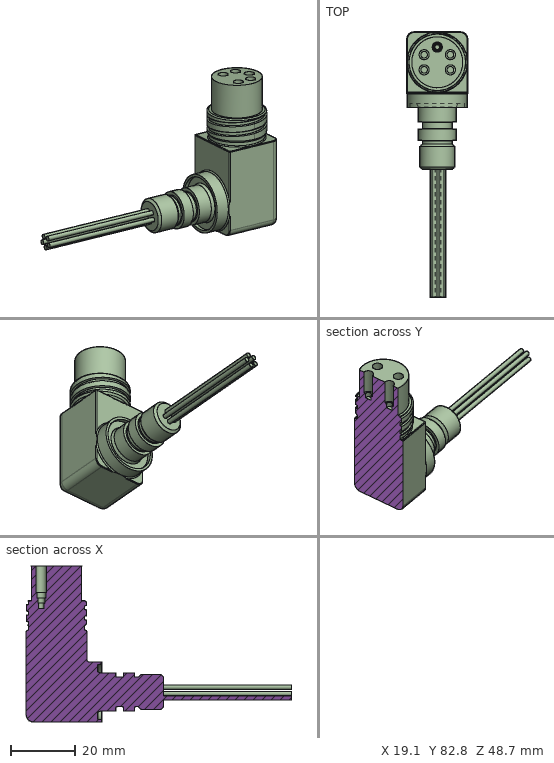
import cadquery as cq
import math

block_width = 19.05
block_height = 28.6
block_corner = 2.3
block_edge_break = 0.25
block_front = -block_width / 2

total_height = 48.7
plug_radius = 15.9 / 2
crest_radius = 18.8 / 2
root_radius = 17.65 / 2
neck_flare = 0.3
neck_top = 30.0
thread_bottom = 30.65
thread_top = 37.9
lead_in_height = 0.3

thread_pitch = 3.2
groove_floor_width = 1.0
groove_mouth_width = 1.3
groove_root_radius = 8.8
groove_start_angle = 45.0
groove_start_height = 30.4
groove_turns = 3
groove_clearance = 0.4

socket_circle_radius = 4.7
socket_angles = [30, 90, 150, 210, 330]
key_socket_angle = 90
socket_diameter = 3.15
socket_depth = 8.3
contact_diameter = 2.1
key_step_diameter = 2.7
key_tip_diameter = 1.5
step_depth = 1.65

flange_radius = 18.8 / 2
outlet_height = flange_radius
flange_flare = 0.4
flange_length = 4.6
recess_radius = 17.15 / 2
recess_depth = 1.25
collar_radius = 12.7 / 2
collar_taper_length = 1.1
stem_radius = 11.9 / 2
stem_groove_radius = 9.4 / 2
stem_groove_chamfer = 0.25
first_groove_start = 9.0
first_groove_end = 11.35
second_groove_start = 14.8
second_groove_end = 16.0
grip_start = 16.8
grip_radius = 11.0 / 2
grip_end = 23.9
grip_chamfer_length = 0.75
grip_chamfer_depth = 0.8

wire_count = 5
wire_diameter = 1.5
wire_circle_radius = 1.8
wire_circle_offset = 0.25
wire_end = 63.8
embed = 1.65


def make_block():
    block = cq.Workplane("XY").box(block_width, block_width, block_height, centered=(True, True, False))
    block = block.edges("(|Z and >Y) or (|Y and <Z) or (|X and >Y and <Z)").fillet(block_corner)
    return block.faces("<Y or >Z").edges().chamfer(block_edge_break)


def make_socket_body():
    outline = [
        (0, block_height - embed),
        (root_radius + neck_flare, block_height - embed),
        (root_radius + neck_flare, block_height),
        (root_radius, block_height + neck_flare),
        (root_radius, neck_top),
        (crest_radius, thread_bottom),
        (crest_radius, thread_top - lead_in_height),
        (root_radius, thread_top),
        (plug_radius, thread_top),
        (plug_radius, total_height),
        (0, total_height),
    ]
    return cq.Workplane("XZ").polyline(outline).close().revolve(360, (0, 0, 0), (0, 1, 0))


def make_groove_turn():
    """Cutter for one turn of the right-handed trapezoidal thread groove."""
    helix = cq.Wire.makeHelix(thread_pitch, thread_pitch, groove_root_radius)
    slope = (groove_mouth_width - groove_floor_width) / 2 / (crest_radius - groove_root_radius)
    outer_radius = crest_radius + groove_clearance
    outer_half_width = groove_mouth_width / 2 + slope * groove_clearance
    section = [
        (groove_root_radius, -groove_floor_width / 2),
        (outer_radius, -outer_half_width),
        (outer_radius, outer_half_width),
        (groove_root_radius, groove_floor_width / 2),
    ]
    groove = cq.Workplane("XZ").polyline(section).close().sweep(cq.Workplane(obj=helix), isFrenet=True)
    return groove.rotate((0, 0, 0), (0, 0, 1), groove_start_angle).translate((0, 0, groove_start_height))


def cut_thread(body):
    groove_turn = make_groove_turn()
    for turn in range(groove_turns):
        body = body.cut(groove_turn.translate((0, 0, turn * thread_pitch)))
    return body


def make_contact_socket(angle):
    """Stepped hole cutter; the key socket has two extra steps."""
    steps = [socket_diameter, contact_diameter]
    if angle == key_socket_angle:
        steps = [socket_diameter, key_step_diameter, contact_diameter, key_tip_diameter]
    x = socket_circle_radius * math.cos(math.radians(angle))
    y = socket_circle_radius * math.sin(math.radians(angle))
    top_face = cq.Workplane("XY", origin=(x, y, total_height))
    hole = top_face.circle(steps[0] / 2).extrude(-socket_depth)
    for level, diameter in enumerate(steps[1:], start=1):
        hole = hole.union(top_face.circle(diameter / 2).extrude(-socket_depth - level * step_depth))
    return hole


def make_outlet():
    recess_floor = flange_length - recess_depth
    outline = [
        (0, -embed),
        (flange_radius + flange_flare, -embed),
        (flange_radius + flange_flare, 0),
        (flange_radius, flange_flare),
        (flange_radius, flange_length),
        (recess_radius, flange_length),
        (recess_radius, recess_floor),
        (collar_radius, recess_floor),
        (stem_radius, recess_floor + collar_taper_length),
        (stem_radius, first_groove_start),
        (stem_groove_radius + stem_groove_chamfer, first_groove_start),
        (stem_groove_radius, first_groove_start + stem_groove_chamfer),
        (stem_groove_radius, first_groove_end - stem_groove_chamfer),
        (stem_groove_radius + stem_groove_chamfer, first_groove_end),
        (stem_radius, first_groove_end),
        (stem_radius, second_groove_start),
        (stem_groove_radius + stem_groove_chamfer, second_groove_start),
        (stem_groove_radius, second_groove_start + stem_groove_chamfer),
        (stem_groove_radius, second_groove_end),
        (grip_radius, grip_start),
        (grip_radius, grip_end - grip_chamfer_length),
        (grip_radius - grip_chamfer_depth, grip_end),
        (0, grip_end),
    ]
    outlet = cq.Workplane("XZ").polyline(outline).close().revolve(360, (0, 0, 0), (0, 1, 0))
    outlet = outlet.rotate((0, 0, 0), (1, 0, 0), 90).translate((0, block_front, outlet_height))
    envelope_length = 2 * (embed + grip_end)
    envelope = cq.Workplane("XY", origin=(0, block_front, 0))
    envelope = envelope.rect(block_width, envelope_length).extrude(block_height)
    return outlet.intersect(envelope)


def make_wires():
    """Wires evenly spaced on a circle, with one at the lowest point."""
    bundle = cq.Workplane("XZ", origin=(wire_circle_offset, block_front - grip_end + embed, outlet_height))
    places = bundle.polarArray(wire_circle_radius, -90, 360, wire_count)
    return places.circle(wire_diameter / 2).extrude(wire_end - grip_end + embed)


socket_body = cut_thread(make_socket_body())
result = make_block().union(socket_body).union(make_outlet()).union(make_wires())
for socket_angle in socket_angles:
    result = result.cut(make_contact_socket(socket_angle))